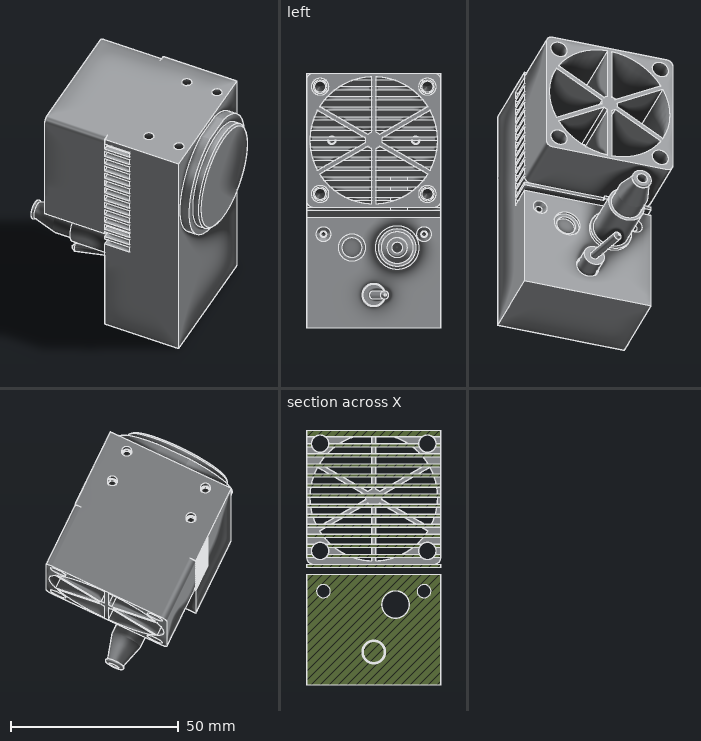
import cadquery as cq
import math

BLOCK_LENGTH = 24.5
WIDTH = 40.0
HEIGHT = 76.0

SLOT_COUNT = 14
SLOT_HEIGHT = 2.0
FIN_THICKNESS = 1.0
FIN_PITCH = SLOT_HEIGHT + FIN_THICKNESS
SLOT_DEPTH = 8.3
TOP_WALL = 2.0
FIRST_SLOT_TOP = HEIGHT - TOP_WALL

TAB_COUNT = 4
TAB_LENGTH = 1.0
TAB_WIDTH = 5.0
TAB_Y = -7.5

FAN_DEPTH = 20.0
FAN_SIZE = WIDTH
FAN_CORNER_RADIUS = 2.0
FAN_BORE_RADIUS = 19.0
FAN_Z = HEIGHT - FAN_SIZE / 2
SPOKE_COUNT = 6
SPOKE_WIDTH = 1.3
HUB_RADIUS = 2.5
FAN_HOLE_RADIUS = 2.55
FAN_HOLE_OFFSET = 16.0

FAN_TAP = (2.05, 1.65, 4.0, 6.0)
FLOOR_TAP = (1.25, 0.95, 3.0, 4.0)
TOP_TAP = (1.5, 1.25, 4.0, 6.0)
REAR_TAP = (1.0, 0.75, 4.0, 6.0)
DRILL_POINT_ANGLE = 118.0
FLOOR_TAP_Y = 12.5
TOP_TAP_X = (11.25, 21.25)
TOP_TAP_Y = 13.0
REAR_TAP_Y = 15.0
REAR_TAP_Z = 28.0
REAR_SINK_RADIUS = 2.2
REAR_SINK_DEPTH = REAR_SINK_RADIUS - REAR_TAP[0]

FLANGE_RADIUS = 19.0
FLANGE_THICKNESS = 3.0
FLANGE_FLAT_OFFSET = 18.4
RIM_RADIUS = 16.5
RIM_LENGTH = 2.5
RIM_CHAMFER = 0.6

CONNECTOR_Y = -7.0
CONNECTOR_Z = 24.0
COLLAR_RADIUS = 6.5
COLLAR_LENGTH = 1.0
SHELL_RADIUS = 5.62
SHELL_END = 15.1
SLEEVE_RADIUS = 4.75
SLEEVE_END = 21.0
CONE_END_RADIUS = 2.6
TIP_END = 29.5
BEAD_OUTER_RADIUS = 3.0
BEAD_ROUND = 0.5
CONE_END = TIP_END - 2 * BEAD_ROUND
CABLE_HOLE_RADIUS = 1.6
CABLE_HOLE_DEPTH = 8.0

RECESS_Y = 6.5
RECESS_RADIUS = 4.05
RECESS_DEPTH = 1.0
RECESS_INNER_RADIUS = 2.95
RECESS_INNER_DEPTH = 2.0

TOGGLE_Z = 9.85
TOGGLE_CLEARANCE_RADIUS = 3.5
TOGGLE_CLEARANCE_DEPTH = 1.0
BUSHING_RADIUS = 3.2
BUSHING_LENGTH = 6.0
LEVER_RADIUS = 1.25
LEVER_TIP_CHAMFER = 0.9
LEVER_REACH = 18.9
LEVER_OVERLAP = 1.0
LEVER_ANGLE = 15.0


def cylinder(radius, x_start, x_end, y, z):
    """Round bar along X between two X positions."""
    return cq.Workplane("YZ", origin=(x_start, y, z)).circle(radius).extrude(x_end - x_start)


def box(x_start, x_end, width, z_bottom, z_top, y=0.0):
    """Box between X and Z limits, centred on y."""
    base = cq.Workplane("XY", origin=((x_start + x_end) / 2, y, z_bottom))
    return base.rect(x_end - x_start, width).extrude(z_top - z_bottom)


def tapped_hole(tap, point, direction):
    """Cutter for a blind tapped hole with a conical drill point."""
    thread_radius, drill_radius, thread_depth, drill_depth = tap
    point_depth = drill_radius / math.tan(math.radians(DRILL_POINT_ANGLE / 2))
    start = cq.Vector(*point)
    axis = cq.Vector(*direction)
    thread = cq.Solid.makeCylinder(thread_radius, thread_depth, start, axis)
    drill = cq.Solid.makeCylinder(drill_radius, drill_depth, start, axis)
    drill_end = start + axis * drill_depth
    drill_point = cq.Solid.makeCone(drill_radius, 0, point_depth, drill_end, axis)
    return cq.Workplane(obj=thread.fuse(drill, drill_point))


def make_block():
    block = box(0, BLOCK_LENGTH, WIDTH, 0, HEIGHT)
    for index in range(SLOT_COUNT):
        slot_top = FIRST_SLOT_TOP - index * FIN_PITCH
        block = block.cut(box(0, SLOT_DEPTH, WIDTH, slot_top - SLOT_HEIGHT, slot_top))
    return block


def make_fin_tabs():
    lowest_fin_bottom = FIRST_SLOT_TOP - (SLOT_COUNT - 1) * FIN_PITCH
    tabs = cq.Workplane("XY")
    for index in range(TAB_COUNT):
        bottom = lowest_fin_bottom + index * FIN_PITCH
        tabs = tabs.add(box(-TAB_LENGTH, SLOT_DEPTH, TAB_WIDTH, bottom, bottom + FIN_THICKNESS, TAB_Y))
    return tabs.combine()


def make_fan():
    frame = box(-FAN_DEPTH, 0, FAN_SIZE, HEIGHT - FAN_SIZE, HEIGHT)
    frame = frame.edges("|X").fillet(FAN_CORNER_RADIUS)
    bore = cylinder(FAN_BORE_RADIUS, -FAN_DEPTH, 0, 0, FAN_Z)
    fan = frame.cut(bore).union(cylinder(HUB_RADIUS, -FAN_DEPTH, 0, 0, FAN_Z))
    bar = box(-FAN_DEPTH, 0, SPOKE_WIDTH, FAN_Z - FAN_BORE_RADIUS, FAN_Z + FAN_BORE_RADIUS)
    bar_count = SPOKE_COUNT // 2
    for index in range(bar_count):
        angle = index * 180.0 / bar_count
        spoke_pair = bar.rotate((0, 0, FAN_Z), (1, 0, FAN_Z), angle)
        fan = fan.union(spoke_pair.intersect(bore))
    return fan


def make_lens_mount():
    flange_end = BLOCK_LENGTH + FLANGE_THICKNESS
    flange = cylinder(FLANGE_RADIUS, BLOCK_LENGTH, flange_end, 0, FAN_Z)
    flats = box(BLOCK_LENGTH, flange_end, WIDTH, FAN_Z - FLANGE_FLAT_OFFSET, FAN_Z + FLANGE_FLAT_OFFSET)
    rim = cylinder(RIM_RADIUS, flange_end, flange_end + RIM_LENGTH, 0, FAN_Z)
    rim = rim.faces(">X").chamfer(RIM_CHAMFER)
    return flange.intersect(flats).union(rim)


def make_connector():
    bead_face_radius = BEAD_OUTER_RADIUS - BEAD_ROUND
    hole_bottom = -TIP_END + CABLE_HOLE_DEPTH
    stepped_barrel = [
        (0, 0),
        (0, COLLAR_RADIUS),
        (-COLLAR_LENGTH, COLLAR_RADIUS),
        (-COLLAR_LENGTH, SHELL_RADIUS),
        (-SHELL_END, SHELL_RADIUS),
        (-SHELL_END, SLEEVE_RADIUS),
        (-SLEEVE_END, SLEEVE_RADIUS),
        (-CONE_END, CONE_END_RADIUS),
    ]
    profile = (
        cq.Workplane("XZ")
        .polyline(stepped_barrel)
        .threePointArc((-CONE_END - BEAD_ROUND, BEAD_OUTER_RADIUS), (-TIP_END, bead_face_radius))
        .lineTo(-TIP_END, CABLE_HOLE_RADIUS)
        .lineTo(hole_bottom, CABLE_HOLE_RADIUS)
        .lineTo(hole_bottom, 0)
        .close()
    )
    connector = profile.revolve(360, (0, 0, 0), (1, 0, 0))
    return connector.translate((0, CONNECTOR_Y, CONNECTOR_Z))


def make_toggle():
    bushing = cylinder(BUSHING_RADIUS, -BUSHING_LENGTH, TOGGLE_CLEARANCE_DEPTH, 0, TOGGLE_Z)
    tilt = math.radians(LEVER_ANGLE)
    tip_edge_radius = LEVER_RADIUS - LEVER_TIP_CHAMFER
    tip_overhang = tip_edge_radius * math.sin(tilt)
    lever_length = (LEVER_REACH - BUSHING_LENGTH - tip_overhang) / math.cos(tilt)
    lever_root = -BUSHING_LENGTH + LEVER_OVERLAP
    lever_tip = -BUSHING_LENGTH - lever_length
    lever = cylinder(LEVER_RADIUS, lever_tip, lever_root, 0, TOGGLE_Z)
    lever = lever.faces("<X").chamfer(LEVER_TIP_CHAMFER)
    pivot = (-BUSHING_LENGTH, 0, TOGGLE_Z)
    pivot_axis_end = (-BUSHING_LENGTH, 0, TOGGLE_Z + 1)
    return bushing.union(lever.rotate(pivot, pivot_axis_end, LEVER_ANGLE))


def cut_fan_holes(body):
    """Clearance through the fan frame and fins, tapped into the slot floor."""
    for y in (-FAN_HOLE_OFFSET, FAN_HOLE_OFFSET):
        for z in (FAN_Z - FAN_HOLE_OFFSET, FAN_Z + FAN_HOLE_OFFSET):
            body = body.cut(cylinder(FAN_HOLE_RADIUS, -FAN_DEPTH, SLOT_DEPTH, y, z))
            body = body.cut(tapped_hole(FAN_TAP, (SLOT_DEPTH, y, z), (1, 0, 0)))
    return body


def cut_floor_holes(body):
    for y in (-FLOOR_TAP_Y, FLOOR_TAP_Y):
        body = body.cut(tapped_hole(FLOOR_TAP, (SLOT_DEPTH, y, FAN_Z), (1, 0, 0)))
    return body


def cut_top_holes(body):
    for x in TOP_TAP_X:
        for y in (-TOP_TAP_Y, TOP_TAP_Y):
            body = body.cut(tapped_hole(TOP_TAP, (x, y, HEIGHT), (0, 0, -1)))
    return body


def cut_rear_holes(body):
    """Countersunk tapped holes in the lower rear face."""
    for y in (-REAR_TAP_Y, REAR_TAP_Y):
        mouth = (0, y, REAR_TAP_Z)
        sink = cq.Solid.makeCone(
            REAR_SINK_RADIUS, REAR_TAP[0], REAR_SINK_DEPTH, cq.Vector(*mouth), cq.Vector(1, 0, 0))
        body = body.cut(cq.Workplane(obj=sink))
        body = body.cut(tapped_hole(REAR_TAP, mouth, (1, 0, 0)))
    return body


def cut_recess(body):
    body = body.cut(cylinder(RECESS_RADIUS, 0, RECESS_DEPTH, RECESS_Y, CONNECTOR_Z))
    return body.cut(cylinder(RECESS_INNER_RADIUS, 0, RECESS_INNER_DEPTH, RECESS_Y, CONNECTOR_Z))


def cut_toggle_clearance(body):
    return body.cut(cylinder(TOGGLE_CLEARANCE_RADIUS, 0, TOGGLE_CLEARANCE_DEPTH, 0, TOGGLE_Z))


body = make_block().union(make_fin_tabs()).union(make_fan()).union(make_lens_mount())
body = cut_fan_holes(body)
body = cut_floor_holes(body)
body = cut_top_holes(body)
body = cut_rear_holes(body)
body = cut_recess(body)
body = cut_toggle_clearance(body)
result = body.union(make_connector()).union(make_toggle())